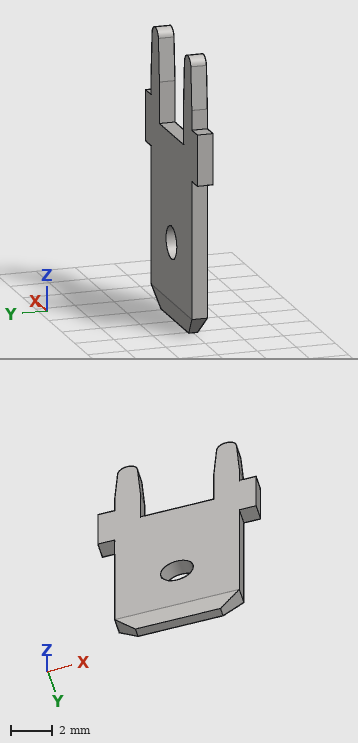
import cadquery as cq


thickness = 0.8
total_height = 14.2
blade_width = 6.3
slot_floor_z = 9.5

tip_height = 1.0
tip_side_inset = 1.0
tip_thickness = 0.45

shoulder_span = 8.0
shoulder_bottom_z = 8.0
shoulder_top_z = 10.6

pin_spacing = 5.0
pin_width = 1.3
pin_taper_start_z = 11.6
pin_neck_width = 1.0
pin_round_height = 0.43

hole_diameter = 1.65
hole_z = 4.0

half_blade = blade_width / 2
half_tip = half_blade - tip_side_inset
pin_round_start_z = total_height - pin_round_height


def extrude_through_sheet(outline):
    """Extrude a closed XZ outline by the sheet thickness, centred on Y."""
    return outline.extrude(thickness / 2, both=True)


def make_blade():
    """Blade with its lower corners cut back towards the tip."""
    outline = (
        cq.Workplane("XZ")
        .moveTo(-half_tip, 0)
        .lineTo(half_tip, 0)
        .lineTo(half_blade, tip_height)
        .lineTo(half_blade, slot_floor_z)
        .lineTo(-half_blade, slot_floor_z)
        .lineTo(-half_blade, tip_height)
        .close()
    )
    return extrude_through_sheet(outline)


def make_shoulder(side):
    """Stop shoulder on one side, reaching inwards to the pin centre line."""
    inner_x = side * pin_spacing / 2
    outer_x = side * shoulder_span / 2
    outline = (
        cq.Workplane("XZ")
        .moveTo(inner_x, shoulder_bottom_z)
        .lineTo(outer_x, shoulder_bottom_z)
        .lineTo(outer_x, shoulder_top_z)
        .lineTo(inner_x, shoulder_top_z)
        .close()
    )
    return extrude_through_sheet(outline)


def make_pin(side):
    """Solder pin on one side: straight root, slight taper and round end."""
    center_x = side * pin_spacing / 2
    half_root = pin_width / 2
    half_neck = pin_neck_width / 2
    outline = (
        cq.Workplane("XZ")
        .moveTo(center_x - half_root, shoulder_bottom_z)
        .lineTo(center_x + half_root, shoulder_bottom_z)
        .lineTo(center_x + half_root, pin_taper_start_z)
        .lineTo(center_x + half_neck, pin_round_start_z)
        .threePointArc((center_x, total_height), (center_x - half_neck, pin_round_start_z))
        .lineTo(center_x - half_root, pin_taper_start_z)
        .close()
    )
    return extrude_through_sheet(outline)


def make_hole():
    """Cylinder that cuts the detent hole through the sheet."""
    return extrude_through_sheet(cq.Workplane("XZ").center(0, hole_z).circle(hole_diameter / 2))


def make_bevel(face):
    """Wedge that thins the tip on one face (-1 or +1 along Y)."""
    face_y = face * thickness / 2
    tip_y = face * tip_thickness / 2
    return (
        cq.Workplane("YZ")
        .moveTo(face_y, tip_height)
        .lineTo(tip_y, 0)
        .lineTo(face_y, 0)
        .close()
        .extrude(half_blade, both=True)
    )


part = make_blade()
for direction in (-1, 1):
    part = part.union(make_shoulder(direction)).union(make_pin(direction))
part = part.clean().cut(make_hole())
for direction in (-1, 1):
    part = part.cut(make_bevel(direction))

result = part